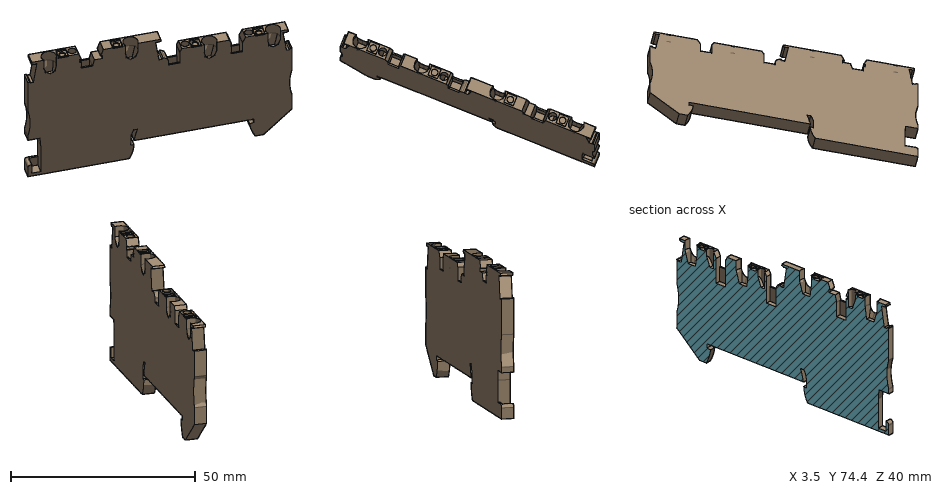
import cadquery as cq

thickness = 3.5
length = 74.4
upper_top = 40.0
lower_top = 35.4

lip_tip = 0.15
lip_edge_drop = 0.6
lip_height = 0.9
neck_top_inset = 1.4
neck_bottom_inset = 0.45
ledge_drop = 7.15
ledge_length = 1.1
ledge_rise = 0.4
shoulder_rise = 0.2
front_deck_end = 1.1
middle_deck_end = 37.4
rear_deck_end = 73.3

hollow_half_height = 4.5
hollow_depth = 0.7
front_hollow_z = 18.8
rear_hollow_z = 16.7

window_depth = 3.65
window_bottom = 4.0
window_top = 12.8
window_top_depth = 3.4
window_bend_z = 10.1
foot_corner = 0.9
latch_wall = 0.6
latch_front = 1.1
latch_depth = 3.0

slot_width = 3.1
front_slot_y = 15.1
front_slot_floor = 34.9
middle_slot_y = 39.65
rear_slot_y = 57.3
lower_slot_floor = 30.5
slot_chamfer = 0.6
slot_chamfer_z = 34.2
slot_notch_z = 37.0
slot_notch_top = 37.9
slot_wall = 0.45
slot_well_depth = 4.5

rail_top = 6.0
rail_hook_z = 4.7
rail_front = 29.9
rail_rear = 63.6
hook_barb = 0.2
spring_gap_front = 29.0
spring_gap_top = 9.8
rear_hook_toe = 64.0
rear_hook_tip = 62.4
rear_chamfer_y = 66.4
rear_chamfer_z = 7.3

clamps = [
    (69.35, lower_top, -1, True),
    (51.4, lower_top, -1, True),
    (29.25, upper_top, -1, False),
    (6.25, upper_top, 1, True),
]
funnel_x = 2.3
funnel_radius = 2.1
funnel_straight = 3.0
funnel_taper = 3.7
throat_x = 1.75
throat_width = 2.0
throat_length = 2.4
throat_offset = 0.3
clamp_pitch = 3.9
test_pocket_low_x = 0.5
test_pocket_high_x = 3.3
pocket_length = 2.75
pocket_depth = 0.45
test_hole_radius = 0.9
test_hole_depth = 0.4
driver_offset = 6.7
driver_x = 1.75
driver_radius = 1.1
driver_depth = 5.2
driver_ramp_height = 3.0


def lip(deck_end, top, outward):
    """Points from the deck's top edge round the lip and down the neck to the ledge."""
    ledge = top - ledge_drop
    neck_bottom = deck_end - outward * neck_bottom_inset
    return [
        (deck_end, top),
        (deck_end + outward * lip_tip, top - lip_edge_drop),
        (deck_end - outward * neck_bottom_inset, top - lip_height),
        (deck_end - outward * neck_top_inset, top - lip_height),
        (neck_bottom, ledge),
        (neck_bottom + outward * (ledge_length - ledge_rise), ledge),
        (neck_bottom + outward * ledge_length, ledge + ledge_rise),
    ]


def body():
    """Side outline, drawn in the YZ plane from the front foot, extruded over the thickness."""
    front_slot_end = front_slot_y + slot_width
    middle_slot_end = middle_slot_y + slot_width
    rear_slot_end = rear_slot_y + slot_width
    front_shoulder = upper_top - ledge_drop + shoulder_rise
    rear_shoulder = lower_top - ledge_drop + shoulder_rise
    outline = (
        cq.Workplane("YZ")
        .lineTo(0, window_bottom - foot_corner)
        .radiusArc((foot_corner, window_bottom), foot_corner)
        .lineTo(window_depth, window_bottom)
        .lineTo(window_depth, window_bend_z)
        .lineTo(window_top_depth, window_top)
        .lineTo(0, window_top)
        .lineTo(0, front_hollow_z - hollow_half_height)
        .threePointArc((hollow_depth, front_hollow_z), (0, front_hollow_z + hollow_half_height))
        .lineTo(0, front_shoulder)
    )
    for point in reversed(lip(front_deck_end, upper_top, -1)):
        outline = outline.lineTo(*point)
    upper_deck = [
        (14.3, upper_top),
        (front_slot_y, slot_notch_top),
        (14.65, slot_notch_top),
        (14.65, slot_notch_z),
        (front_slot_y, slot_notch_z),
        (front_slot_y, front_slot_floor),
        (front_slot_end, front_slot_floor),
        (front_slot_end + 0.5, slot_notch_z),
        (21.0, slot_notch_z),
        (21.0, slot_notch_top),
        (20.45, slot_notch_top),
        (21.3, upper_top),
    ]
    for point in upper_deck + lip(middle_deck_end, upper_top, 1):
        outline = outline.lineTo(*point)
    outline = (
        outline.lineTo(38.6, front_shoulder)
        .threePointArc((39.3, 32.6), (middle_slot_y, 31.7))
    )
    lower_deck = [
        (middle_slot_y, lower_slot_floor),
        (middle_slot_end, lower_slot_floor),
        (middle_slot_end, slot_chamfer_z),
        (middle_slot_end + slot_chamfer, lower_top),
        (rear_slot_y - slot_chamfer, lower_top),
        (rear_slot_y, slot_chamfer_z),
        (rear_slot_y, lower_slot_floor),
        (rear_slot_end, lower_slot_floor),
        (rear_slot_end, 33.7),
        (rear_slot_end + 0.9, lower_top),
    ]
    for point in lower_deck + lip(rear_deck_end, lower_top, 1):
        outline = outline.lineTo(*point)
    outline = (
        outline.lineTo(length, rear_shoulder)
        .lineTo(length, rear_hollow_z + hollow_half_height)
        .threePointArc(
            (length - hollow_depth, rear_hollow_z),
            (length, rear_hollow_z - hollow_half_height),
        )
        .lineTo(length, rear_chamfer_z)
        .lineTo(rear_chamfer_y, 0)
        .lineTo(rear_hook_toe, 0)
        .threePointArc((62.95, 2.3), (rear_hook_tip, rail_hook_z))
        .lineTo(rail_rear, rail_hook_z + hook_barb)
        .lineTo(rail_rear, rail_top)
        .lineTo(rail_front, rail_top)
        .threePointArc((30.3, 7.9), (30.9, spring_gap_top))
        .lineTo(29.8, spring_gap_top)
        .threePointArc((29.2, 8.2), (spring_gap_front, 6.5))
        .lineTo(spring_gap_front, rail_hook_z)
        .lineTo(rail_front, rail_hook_z)
        .threePointArc((29.5, 2.2), (28.6, 0))
        .close()
    )
    return outline.extrude(thickness)


def latch_pocket():
    """Recess in the window floor, open at the +X face, behind a thin wall and the front lip."""
    return (
        cq.Workplane("XY", origin=(latch_wall, latch_front, window_bottom - latch_depth))
        .rect(thickness - latch_wall, window_depth - latch_front, centered=False)
        .extrude(latch_depth)
    )


def slot_well(low_y, floor):
    """Jumper well sunk into a slot floor, leaving a thin wall on both faces."""
    return (
        cq.Workplane("XY", origin=(slot_wall, low_y, floor - slot_well_depth))
        .rect(thickness - 2 * slot_wall, slot_width, centered=False)
        .extrude(slot_well_depth)
    )


def wire_funnel(y, top, direction):
    """Round wire entry, open at the +X face, tapering to a rectangular throat."""
    taper_top = top - funnel_straight
    straight = (
        cq.Workplane("XY", origin=(funnel_x, y, taper_top))
        .circle(funnel_radius)
        .extrude(funnel_straight)
    )
    taper = (
        cq.Workplane("XY", origin=(funnel_x, y, taper_top))
        .circle(funnel_radius)
        .workplane(offset=-funnel_taper)
        .center(throat_x - funnel_x, direction * throat_offset)
        .rect(throat_width, throat_length)
        .loft(ruled=True)
    )
    return straight.union(taper)


def test_pocket(y, top):
    """Shallow square pocket with a round test hole in its floor."""
    centre_x = (test_pocket_low_x + test_pocket_high_x) / 2
    deck = cq.Workplane("XY", origin=(centre_x, y, top))
    width = test_pocket_high_x - test_pocket_low_x
    pocket = deck.rect(width, pocket_length).extrude(-pocket_depth)
    hole = deck.circle(test_hole_radius).extrude(-pocket_depth - test_hole_depth)
    return pocket.union(hole)


def driver_hole(y, top, direction):
    """Round screwdriver hole; the half of its floor nearer the funnel is a steep ramp."""
    floor = top - driver_depth
    hole = cq.Workplane("XY", origin=(driver_x, y, floor)).circle(driver_radius).extrude(driver_depth)
    ramp = (
        cq.Workplane("YZ")
        .moveTo(y, floor)
        .lineTo(y - direction * driver_radius, floor)
        .lineTo(y - direction * driver_radius, floor + driver_ramp_height)
        .close()
        .extrude(thickness)
    )
    return hole.cut(ramp)


result = body().cut(latch_pocket())

for slot_y, slot_floor in [
    (front_slot_y, front_slot_floor),
    (middle_slot_y, lower_slot_floor),
    (rear_slot_y, lower_slot_floor),
]:
    result = result.cut(slot_well(slot_y, slot_floor))

for clamp_y, deck_top, side, has_driver_hole in clamps:
    result = result.cut(wire_funnel(clamp_y, deck_top, side))
    result = result.cut(test_pocket(clamp_y + side * clamp_pitch, deck_top))
    if has_driver_hole:
        result = result.cut(driver_hole(clamp_y + side * driver_offset, deck_top, side))